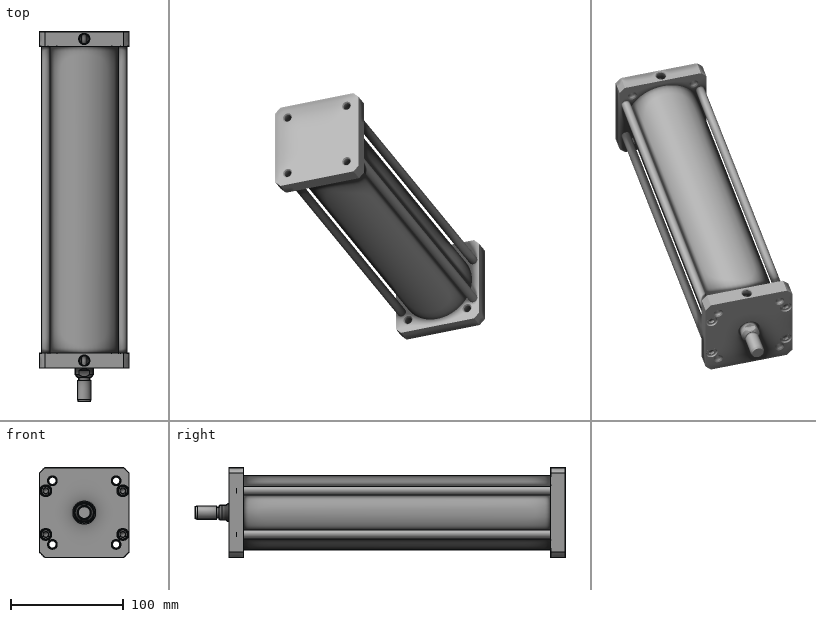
import cadquery as cq
import math

TOTAL_LENGTH = 329.0
ROD_PROJECTION = 30.0
BODY_LENGTH = TOTAL_LENGTH - ROD_PROJECTION

PLATE_SIZE = 80.0
PLATE_THICKNESS = 13.0
PLATE_CORNER_CHAMFER = 5.0
MOUNT_HOLE_DIAMETER = 6.5
MOUNT_HOLE_MOUTH_DIAMETER = 8.5
MOUNT_HOLE_OFFSET = 28.3

PORT_DIAMETER = 8.5
PORT_MOUTH_DIAMETER = 10.0
PORT_DEPTH = 10.0
PORT_TIP_ANGLE = 118.0
PORT_BAR_DIAMETER = 5.0

ROD_BORE_MOUTH_DIAMETER = 20.5
ROD_BORE_MOUTH_FLOOR_DIAMETER = 18.0
ROD_BORE_MOUTH_DEPTH = 1.3

TUBE_OUTER_DIAMETER = 66.0
TUBE_BORE_DIAMETER = 63.0

TIE_ROD_X = 34.2
TIE_ROD_Z = 19.5
TIE_ROD_DIAMETER = 8.0
HEAD_DIAMETER = 8.5
HEAD_RECESS_DIAMETER = 10.5
HEAD_TOP_DEPTH = 1.0
HEAD_LENGTH = 6.0
SOCKET_WIDTH = 5.0
SOCKET_DEPTH = 3.0
SOCKET_TIP_DEPTH = 1.3

ROD_DIAMETER = 16.0
ROD_CHAMFER_START = 6.0
ROD_END = 8.5
ROD_END_DIAMETER = 12.0
NECK_DIAMETER = 10.0
THREAD_START = 11.0
THREAD_DIAMETER = 12.2
THREAD_TIP_DIAMETER = 10.5
THREAD_TIP_LENGTH = 2.0
FLATS_WIDTH = 13.0
FLATS_START = 2.3

FRONT_INNER_FACE = PLATE_THICKNESS
REAR_INNER_FACE = BODY_LENGTH - PLATE_THICKNESS


def bar(diameter, start, end, x=0, z=0):
    """Round bar parallel to Y, from Y = start to Y = end."""
    return cq.Workplane("XZ", origin=(x, start, z)).circle(diameter / 2).extrude(start - end)


def cone(start_diameter, end_diameter, start, end, x=0, z=0):
    """Cone parallel to Y whose diameter changes from Y = start to Y = end."""
    base = cq.Vector(x, start, z)
    direction = cq.Vector(0, end - start, 0)
    height = abs(end - start)
    return cq.Workplane(cq.Solid.makeCone(start_diameter / 2, end_diameter / 2, height, base, direction))


def four_places(x, z):
    """Four (x, z) points mirrored about both centre planes."""
    return [(side * x, level * z) for side in (-1, 1) for level in (-1, 1)]


def mount_hole(start, end, x, z):
    """Through hole with a chamfered mouth at both plate faces."""
    mouth_depth = (MOUNT_HOLE_MOUTH_DIAMETER - MOUNT_HOLE_DIAMETER) / 2
    hole = bar(MOUNT_HOLE_DIAMETER, start, end, x, z)
    for face, inside in ((start, start + mouth_depth), (end, end - mouth_depth)):
        hole = hole.union(cone(MOUNT_HOLE_MOUTH_DIAMETER, MOUNT_HOLE_DIAMETER, face, inside, x, z))
    return hole


def port(middle):
    """Drilled port with a chamfered mouth, less the bar left standing across its floor."""
    top = PLATE_SIZE / 2
    floor = top - PORT_DEPTH
    radius = PORT_DIAMETER / 2
    mouth_radius = PORT_MOUTH_DIAMETER / 2
    tip_depth = radius / math.tan(math.radians(PORT_TIP_ANGLE / 2))
    profile = [
        (0, top),
        (mouth_radius, top),
        (radius, top - (mouth_radius - radius)),
        (radius, floor),
        (0, floor - tip_depth),
    ]
    drilled = cq.Workplane("XZ").polyline(profile).close().revolve(360, (0, 0, 0), (0, 1, 0))
    drilled = drilled.translate((0, middle, 0))
    return drilled.cut(bar(PORT_BAR_DIAMETER, middle - radius, middle + radius, 0, floor))


def end_plate(start):
    """Chamfered square plate with mounting holes and a port; its -Y face is at Y = start."""
    end = start + PLATE_THICKNESS
    middle = (start + end) / 2
    plate = cq.Workplane("XY").box(PLATE_SIZE, PLATE_THICKNESS, PLATE_SIZE)
    plate = plate.edges("|Y").chamfer(PLATE_CORNER_CHAMFER).translate((0, middle, 0))
    for x, z in four_places(MOUNT_HOLE_OFFSET, MOUNT_HOLE_OFFSET):
        plate = plate.cut(mount_hole(start, end, x, z))
    return plate.cut(port(middle))


def front_plate():
    """End plate with the rod bore and the tie rod holes and head recesses."""
    plate = end_plate(0)
    plate = plate.cut(bar(ROD_DIAMETER, 0, PLATE_THICKNESS))
    plate = plate.cut(cone(ROD_BORE_MOUTH_DIAMETER, ROD_BORE_MOUTH_FLOOR_DIAMETER, 0, ROD_BORE_MOUTH_DEPTH))
    for x, z in four_places(TIE_ROD_X, TIE_ROD_Z):
        plate = plate.cut(bar(TIE_ROD_DIAMETER, 0, PLATE_THICKNESS, x, z))
        plate = plate.cut(bar(HEAD_RECESS_DIAMETER, 0, HEAD_TOP_DEPTH + HEAD_LENGTH, x, z))
    return plate


def hex_socket(x, z):
    """Hexagonal socket with flats facing X and a conical floor."""
    width_over_corners = SOCKET_WIDTH / math.cos(math.pi / 6)
    floor = HEAD_TOP_DEPTH + SOCKET_DEPTH
    socket = cq.Workplane("XZ", origin=(x, HEAD_TOP_DEPTH, z)).transformed(rotate=(0, 0, 90))
    socket = socket.polygon(6, width_over_corners).extrude(-SOCKET_DEPTH)
    return socket.union(cone(SOCKET_WIDTH, 0, floor, floor + SOCKET_TIP_DEPTH, x, z))


def tie_rod(x, z):
    """Rod from its head in the front plate to the inner face of the rear plate."""
    rod = bar(TIE_ROD_DIAMETER, HEAD_TOP_DEPTH, REAR_INNER_FACE, x, z)
    head = bar(HEAD_DIAMETER, HEAD_TOP_DEPTH, HEAD_TOP_DEPTH + HEAD_LENGTH, x, z)
    return rod.union(head).cut(hex_socket(x, z))


def piston_rod():
    """Turned rod with a neck, a plain thread and two wrench flats facing +Z and -Z."""
    profile = [
        (0, PLATE_THICKNESS),
        (ROD_DIAMETER / 2, PLATE_THICKNESS),
        (ROD_DIAMETER / 2, -ROD_CHAMFER_START),
        (ROD_END_DIAMETER / 2, -ROD_END),
        (NECK_DIAMETER / 2, -ROD_END),
        (NECK_DIAMETER / 2, -THREAD_START),
        (THREAD_DIAMETER / 2, -THREAD_START),
        (THREAD_DIAMETER / 2, THREAD_TIP_LENGTH - ROD_PROJECTION),
        (THREAD_TIP_DIAMETER / 2, -ROD_PROJECTION),
        (0, -ROD_PROJECTION),
    ]
    rod = cq.Workplane("XY").polyline(profile).close().revolve(360, (0, 0, 0), (0, 1, 0))
    flat = FLATS_WIDTH / 2
    rise = ROD_DIAMETER / 2 - flat
    for side in (-1, 1):
        section = [
            (-ROD_END, side * flat),
            (-FLATS_START, side * flat),
            (rise - FLATS_START, side * (flat + rise)),
            (-ROD_END, side * (flat + rise)),
        ]
        cutter = cq.Workplane("YZ").polyline(section).close().extrude(ROD_DIAMETER / 2, both=True)
        rod = rod.cut(cutter)
    return rod


def tube():
    outside = bar(TUBE_OUTER_DIAMETER, FRONT_INNER_FACE, REAR_INNER_FACE)
    return outside.cut(bar(TUBE_BORE_DIAMETER, FRONT_INNER_FACE, REAR_INNER_FACE))


front = front_plate()
rear = end_plate(REAR_INNER_FACE)
barrel = tube()
piston = piston_rod()
tie_rods = [tie_rod(x, z) for x, z in four_places(TIE_ROD_X, TIE_ROD_Z)]

result = cq.Compound.makeCompound(
    [front.val(), rear.val(), barrel.val(), piston.val(), *[rod.val() for rod in tie_rods]]
)